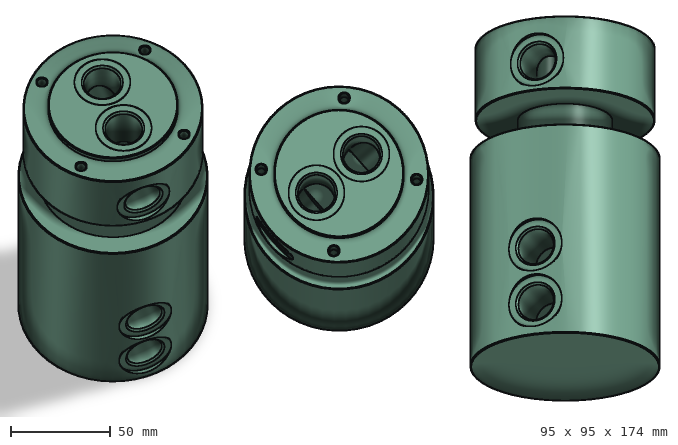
import cadquery as cq
import math

body_diameter = 95.0
body_top = 112.0
neck_diameter = 47.5
head_diameter = 90.0
head_bottom = 132.0
head_top = 171.0
boss_diameter = 65.0
boss_top = 174.0
edge_chamfer = 0.5

recess_diameter = 75.0
recess_depth = 6.0

port_diameter = 18.6
port_chamfer = 1.0
spotface_diameter = 28.0
top_spotface_depth = 0.3
port_spacing = 30.0
head_port_z = 148.6
lower_body_port_z = 18.5
body_port_depth = 27.8

screw_diameter = 4.9
screw_depth = 10.5
screw_chamfer = 0.5
screw_circle_diameter = 78.0
screw_count = 4
drill_half_angle = math.radians(59)


def disc(diameter, bottom, top):
    return cq.Workplane("XY").workplane(offset=bottom).circle(diameter / 2).extrude(top - bottom)


def chamfered_disc(diameter, bottom, top):
    return disc(diameter, bottom, top).edges().chamfer(edge_chamfer)


def flat_distance(diameter):
    """Distance from the part axis to a spotface that just reaches full width on a cylinder."""
    return math.sqrt((diameter / 2) ** 2 - (spotface_diameter / 2) ** 2)


def port_cutter(mouth, direction, depth):
    """Blind bore with a chamfered mouth, and a spotface clearing everything outside the mouth."""
    inward = cq.Vector(*direction)
    start = cq.Vector(*mouth)
    radius = port_diameter / 2
    bore = cq.Solid.makeCylinder(radius, depth, start, inward)
    chamfer = cq.Solid.makeCone(radius + port_chamfer, radius, port_chamfer, start, inward)
    spotface = cq.Solid.makeCylinder(spotface_diameter / 2, body_diameter / 2, start, inward * -1)
    return bore.fuse(chamfer, spotface)


def screw_hole_cutter(x, y):
    """Revolved drill profile with a chamfered mouth and a conical tip."""
    radius = screw_diameter / 2
    tip_length = radius / math.tan(drill_half_angle)
    profile = (
        cq.Workplane("XZ")
        .moveTo(0, 0)
        .lineTo(radius + screw_chamfer, 0)
        .lineTo(radius, -screw_chamfer)
        .lineTo(radius, -screw_depth)
        .lineTo(0, -screw_depth - tip_length)
        .close()
    )
    return profile.revolve(360, (0, 0, 0), (0, 1, 0)).translate((x, y, head_top))


result = chamfered_disc(body_diameter, 0, body_top)
recess_floor = body_top - recess_depth
result = result.cut(disc(recess_diameter, recess_floor, body_top))
result = result.union(disc(neck_diameter, recess_floor, head_bottom))
result = result.union(chamfered_disc(head_diameter, head_bottom, head_top))
boss = disc(boss_diameter, head_top, boss_top).faces(">Z").edges().chamfer(edge_chamfer)
result = result.union(boss)

top_mouth_z = boss_top - top_spotface_depth
head_flat = flat_distance(head_diameter)
for side in (-1, 1):
    elbow_x = side * port_spacing / 2
    result = result.cut(port_cutter((elbow_x, 0, top_mouth_z), (0, 0, -1), top_mouth_z - head_port_z))
    side_depth = head_flat - port_spacing / 2
    result = result.cut(port_cutter((side * head_flat, 0, head_port_z), (-side, 0, 0), side_depth))

body_flat = flat_distance(body_diameter)
for level in range(2):
    port_z = lower_body_port_z + level * port_spacing
    result = result.cut(port_cutter((body_flat, 0, port_z), (-1, 0, 0), body_port_depth))

for index in range(screw_count):
    angle = math.radians(45 + index * 360 / screw_count)
    screw_x = screw_circle_diameter / 2 * math.cos(angle)
    screw_y = screw_circle_diameter / 2 * math.sin(angle)
    result = result.cut(screw_hole_cutter(screw_x, screw_y))